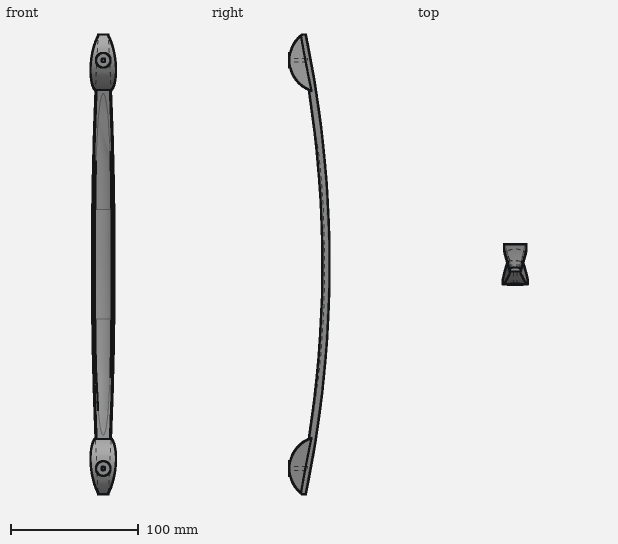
import cadquery as cq
import math

length = 360.5
half_length = length / 2
depth = 32.0
back_y = depth / 2
front_y = back_y - depth

bow = 18.7
bar_thickness = 5.8
bar_mid_width = 18.0
bar_end_width = 8.0
bar_edge_radius = 0.9

groove_radius = 12.0
groove_depth = 1.8
groove_even_half_length = 43.0
groove_half_length = 135.5

foot_z = 160.0
foot_radius = 25.2
foot_width = 20.2
foot_flare = 21.0
foot_lean = 18.0
foot_back_depth = 3.0

pad_radius = 5.8
pad_height = 0.5
pad_depth = 7.2
hole_radius = 1.5
hole_depth = 14.5


def arc_radius(half_chord, rise):
    """Radius of the arc with the given half chord and rise."""
    return (half_chord**2 + rise**2) / (2 * rise)


bow_radius = arc_radius(half_length, bow)
bow_centre_y = back_y - bow_radius
foot_y = front_y + pad_height + foot_radius


def foot_disc():
    """Round side profile of the upper foot, extruded across the part."""
    return cq.Workplane("YZ").center(foot_y, foot_z).circle(foot_radius).extrude(foot_width, both=True)


def bowed_band(near_depth, far_depth):
    """Band between two copies of the bow arc, set at two depths below the crown."""
    near_y = back_y - near_depth
    far_y = back_y - far_depth
    return (
        cq.Workplane("YZ")
        .moveTo(near_y - bow, -half_length)
        .threePointArc((near_y, 0), (near_y - bow, half_length))
        .lineTo(far_y - bow, half_length)
        .threePointArc((far_y, 0), (far_y - bow, -half_length))
        .close()
        .extrude(foot_width, both=True)
    )


def make_bar():
    """Bowed bar that narrows in an arc towards its ends, with rounded long edges."""
    outline = (
        cq.Workplane("XZ")
        .moveTo(-bar_end_width / 2, -half_length)
        .threePointArc((-bar_mid_width / 2, 0), (-bar_end_width / 2, half_length))
        .lineTo(bar_end_width / 2, half_length)
        .threePointArc((bar_mid_width / 2, 0), (bar_end_width / 2, -half_length))
        .close()
        .extrude(depth, both=True)
    )
    bar = bowed_band(0, bar_thickness).intersect(outline)
    long_edges = bar.edges(cq.selectors.BoxSelector((-depth, -depth, -3.5), (depth, depth, 3.5)))
    return long_edges.fillet(bar_edge_radius)


def groove_sweep(floor_radius, turn_y, turn_z, start_angle, end_angle):
    """Round cutter swept about an X-parallel axis; angles are measured from +Y towards +Z."""
    tube_y = floor_radius - groove_radius
    return (
        cq.Workplane("XY", origin=(0, turn_y, turn_z))
        .center(0, tube_y)
        .circle(groove_radius)
        .revolve(end_angle - start_angle, (-3.5, -tube_y), (3.5, -tube_y))
        .rotate((-3.5, turn_y, turn_z), (3.5, turn_y, turn_z), start_angle)
    )


def make_grooves():
    """Groove of even depth over mid-length, then tighter arcs that run out at the inner face."""
    inner_radius = bow_radius - bar_thickness
    floor_radius = inner_radius + groove_depth
    even_angle = math.asin(groove_even_half_length / inner_radius)
    runout_angle = math.asin(groove_half_length / inner_radius) - even_angle
    centre_shift = (floor_radius**2 - inner_radius**2) / (
        2 * (floor_radius - inner_radius * math.cos(runout_angle))
    )
    even_degrees = math.degrees(even_angle)
    even = groove_sweep(floor_radius, bow_centre_y, 0, -even_degrees, even_degrees)
    runout = groove_sweep(
        floor_radius - centre_shift,
        bow_centre_y + centre_shift * math.cos(even_angle),
        centre_shift * math.sin(even_angle),
        even_degrees,
        math.degrees(math.asin(half_length / (floor_radius - centre_shift))),
    )
    return even, runout, runout.mirror("XY")


def make_foot():
    """Upper foot: round side profile between flat sides that flare away from the bar."""
    front_half = foot_width / 2
    wedge_height = front_half / math.tan(math.radians(foot_flare))
    wedge = (
        cq.Workplane("XY")
        .polyline([(-front_half, -foot_radius), (front_half, -foot_radius), (0, wedge_height - foot_radius)])
        .close()
        .extrude(2 * foot_radius, both=True)
        .rotate((0, 0, 0), (1, 0, 0), foot_lean)
        .translate((0, foot_y, foot_z))
    )
    return foot_disc().intersect(wedge).intersect(bowed_band(foot_back_depth, 2 * depth))


def tip_trim():
    """Corner of the bar tip that lies outside the round foot profile."""
    block = cq.Workplane("XY").box(foot_width, depth, half_length - foot_z, centered=(True, False, False))
    block = block.translate((0, foot_y - depth, foot_z))
    return block.cut(foot_disc())


bar = make_bar()
for groove in make_grooves():
    bar = bar.cut(groove)

foot = make_foot()
trim = tip_trim()
result = bar.cut(trim).cut(trim.mirror("XY")).union(foot).union(foot.mirror("XY"))

pads = cq.Workplane("XZ", origin=(0, front_y, 0)).pushPoints([(0, foot_z), (0, -foot_z)])
result = result.union(pads.circle(pad_radius).extrude(-pad_depth))
result = result.cut(pads.circle(hole_radius).extrude(-hole_depth))